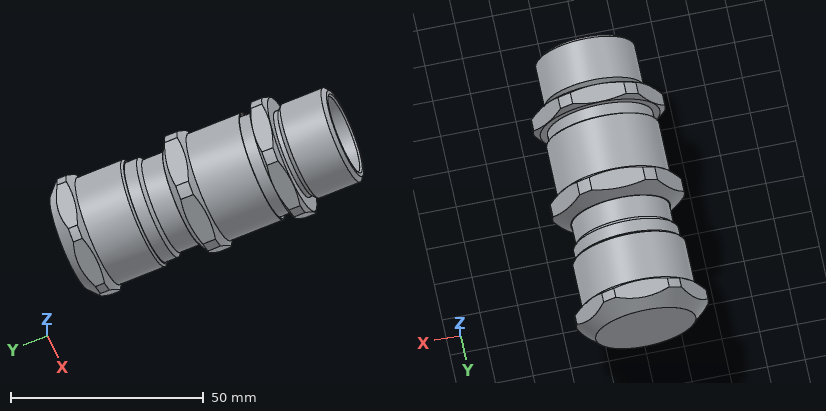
import cadquery as cq
import math

across_flats = 32.0
corner_radius = 35.0 / 2
hex_bevel_angle = 30.0
hex_sides = 6

thread_radius = 26.44 / 2
relief_radius = 24.04 / 2
barrel_radius = 30.0 / 2
collar_radius = 28.0 / 2
neck_radius = 26.0 / 2
rear_barrel_edge_radius = 28.8 / 2
recess_radius = 29.2 / 2
bore_radius = 21.0 / 2
lock_face_radius = 31.8 / 2
cap_face_radius = 26.6 / 2

thread_length = 12.6
relief_length = 2.4
lock_hex_length = 5.0
front_collar_length = 3.5
front_barrel_length = 15.0
body_hex_length = 7.5
neck_length = 6.0
rear_collar_length = 4.5
rear_barrel_length = 13.5
cap_hex_length = 8.0

thread_lead_length = 1.0
cap_bevel_length = 4.0
barrel_recess_depth = 1.0
bore_chamfer = 0.5
bore_depth = thread_length

lock_hex_start = thread_length + relief_length
lock_hex_end = lock_hex_start + lock_hex_length
front_barrel_start = lock_hex_end + front_collar_length
body_hex_start = front_barrel_start + front_barrel_length
body_hex_end = body_hex_start + body_hex_length
rear_collar_start = body_hex_end + neck_length
rear_barrel_start = rear_collar_start + rear_collar_length
cap_hex_start = rear_barrel_start + rear_barrel_length
cap_hex_end = cap_hex_start + cap_hex_length


def revolve_profile(points):
    """Turn a closed (radius, Y) outline about the Y axis."""
    return cq.Workplane("XY").polyline(points).close().revolve(360, (0, 0, 0), (0, 1, 0))


def bevel_length(face_radius):
    """Axial length of a standard bevel from a hexagon face out to the trimmed corners."""
    return (corner_radius - face_radius) * math.tan(math.radians(hex_bevel_angle))


def make_hexagon(start, end, front_radius, rear_radius, rear_bevel):
    """Hexagon with flats facing +/-Z, trimmed by a turned envelope bevelled at both faces."""
    across_corners = across_flats / math.cos(math.pi / hex_sides)
    prism = cq.Workplane("XZ", origin=(0, start, 0)).polygon(hex_sides, across_corners).extrude(start - end)
    envelope = revolve_profile([
        (0, start),
        (front_radius, start),
        (corner_radius, start + bevel_length(front_radius)),
        (corner_radius, end - rear_bevel),
        (rear_radius, end),
        (0, end),
    ])
    return prism.intersect(envelope)


def make_barrel():
    """Turned core: thread, relief groove, collars, recessed front barrel, rear barrel and neck."""
    relief_shoulder = thread_radius - relief_radius
    collar_chamfer = collar_radius - neck_radius
    rear_barrel_chamfer = barrel_radius - rear_barrel_edge_radius
    return revolve_profile([
        (0, 0),
        (relief_radius, 0),
        (thread_radius, thread_lead_length),
        (thread_radius, thread_length),
        (relief_radius, thread_length + relief_shoulder),
        (relief_radius, lock_hex_start),
        (collar_radius, lock_hex_start),
        (collar_radius, front_barrel_start + barrel_recess_depth),
        (recess_radius, front_barrel_start + barrel_recess_depth),
        (recess_radius, front_barrel_start),
        (barrel_radius, front_barrel_start),
        (barrel_radius, body_hex_start),
        (neck_radius, body_hex_start),
        (neck_radius, rear_collar_start),
        (collar_radius, rear_collar_start + collar_chamfer),
        (collar_radius, rear_barrel_start),
        (rear_barrel_edge_radius, rear_barrel_start),
        (barrel_radius, rear_barrel_start + rear_barrel_chamfer),
        (barrel_radius, cap_hex_start),
        (0, cap_hex_start),
    ])


def make_bore():
    """Blind bore with a chamfered mouth in the threaded end."""
    return revolve_profile([
        (0, 0),
        (bore_radius + bore_chamfer, 0),
        (bore_radius, bore_chamfer),
        (bore_radius, bore_depth),
        (0, bore_depth),
    ])


lock_hex = make_hexagon(
    lock_hex_start, lock_hex_end, lock_face_radius, lock_face_radius, bevel_length(lock_face_radius)
)
body_hex = make_hexagon(
    body_hex_start, body_hex_end, barrel_radius, thread_radius, bevel_length(thread_radius)
)
cap_hex = make_hexagon(
    cap_hex_start, cap_hex_end, barrel_radius, cap_face_radius, cap_bevel_length
)

result = make_barrel().union(lock_hex).union(body_hex).union(cap_hex).cut(make_bore())